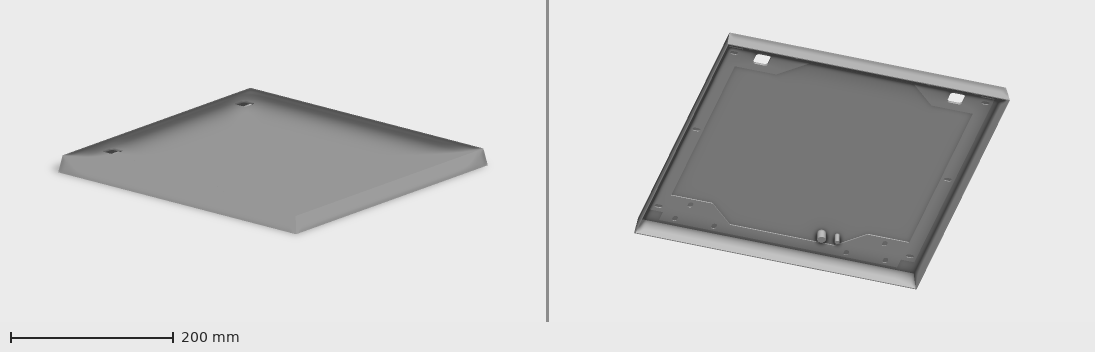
import cadquery as cq
import math

LENGTH = 384.0
WIDTH = 364.0
HEIGHT = 22.0
WALL_LEAN = 4.0
SHEET = 1.5

PLATE = 1.0
EDGE_GAP = 7.5
BAND = 17.3
END_BAR_LENGTH = 329.5
PAD_REACH = 50.0
PAD_DIAGONAL = 230.8

SLOT_LENGTH = 10.0
SLOT_WIDTH = 6.0
END_SLOT_X = 155.0
LEFT_SLOT_YS = (85.2, 145.0)
RIGHT_SLOT_YS = (85.2, 135.5)
PAD_SLOT_X = 141.5

OPENING = 19.2
OPENING_RADIUS = 4.0
OPENING_X = -152.5
OPENING_Y = 125.0

STUDS = ((145.0, -45.0, 10.8), (144.5, -65.0, 6.0))
STUD_LENGTH = 11.5

PAD_SLOT_Y = OPENING_Y
BOTTOM_Z = -HEIGHT / 2
TOP_Z = HEIGHT / 2
SHEET_UNDERSIDE = TOP_Z - SHEET
PLATE_UNDERSIDE = SHEET_UNDERSIDE - PLATE
PLATE_X = LENGTH / 2 - WALL_LEAN - EDGE_GAP
PLATE_Y = WIDTH / 2 - WALL_LEAN - EDGE_GAP
BAND_X = PLATE_X - BAND
BAND_Y = PLATE_Y - BAND
PAD_X = PLATE_X - PAD_REACH


def frustum(inset, height):
    """Rectangular block with leaning sides, inset from the foot outline of the shell."""
    draft = math.degrees(math.atan(WALL_LEAN / HEIGHT))
    return (cq.Workplane("XY", origin=(0, 0, BOTTOM_Z))
            .rect(LENGTH - 2 * inset, WIDTH - 2 * inset)
            .extrude(height, taper=draft))


def opening_cutter():
    """Rounded squares that pass through the top and through the plate under it."""
    return (cq.Workplane("XY", origin=(0, 0, BOTTOM_Z))
            .pushPoints([(OPENING_X, OPENING_Y), (OPENING_X, -OPENING_Y)])
            .rect(OPENING, OPENING).extrude(HEIGHT)
            .edges("|Z").fillet(OPENING_RADIUS))


def slot_cutter(points, angle):
    """Slots through a plate; the angle turns their length away from X."""
    return (cq.Workplane("XY", origin=(0, 0, PLATE_UNDERSIDE))
            .pushPoints(points).slot2D(SLOT_LENGTH, SLOT_WIDTH, angle).extrude(PLATE))


def make_shell():
    return frustum(0, HEIGHT).cut(frustum(SHEET, HEIGHT - SHEET)).cut(opening_cutter())


def make_end_bar(side):
    """Slotted bar that runs along X, between the shell wall and the corner pads."""
    middle_y = side * (PLATE_Y + BAND_Y) / 2
    bar = (cq.Workplane("XY", origin=(0, middle_y, PLATE_UNDERSIDE))
           .rect(END_BAR_LENGTH, BAND).extrude(PLATE))
    points = [(x, middle_y) for x in (-END_SLOT_X, 0, END_SLOT_X)]
    return bar.cut(slot_cutter(points, 90))


def make_side_plate(side, slot_ys):
    """Band along one side that widens into a pad with a slanted edge at each end."""
    half = [(PLATE_X, BAND_Y), (PAD_X, BAND_Y), (PAD_X, PAD_DIAGONAL - PAD_X),
            (BAND_X, PAD_DIAGONAL - BAND_X)]
    outline = half + [(x, -y) for x, y in reversed(half)]
    plate = (cq.Workplane("XY", origin=(0, 0, PLATE_UNDERSIDE))
             .polyline([(side * x, y) for x, y in outline]).close().extrude(PLATE))
    middle_x = side * (PLATE_X + BAND_X) / 2
    points = [(middle_x, s * y) for y in slot_ys for s in (-1, 1)]
    return plate.cut(slot_cutter(points, 0))


def make_stud(x, y, diameter):
    return (cq.Workplane("XY", origin=(x, y, SHEET_UNDERSIDE))
            .circle(diameter / 2).extrude(-STUD_LENGTH))


shell = make_shell()
end_bars = [make_end_bar(side) for side in (-1, 1)]
left_plate = make_side_plate(-1, LEFT_SLOT_YS).cut(opening_cutter())
pad_slots = slot_cutter([(PAD_SLOT_X, PAD_SLOT_Y), (PAD_SLOT_X, -PAD_SLOT_Y)], 0)
right_plate = make_side_plate(1, RIGHT_SLOT_YS).cut(pad_slots)
studs = [make_stud(*stud) for stud in STUDS]

result = cq.Compound.makeCompound(
    [shell.val(), left_plate.val(), right_plate.val()]
    + [bar.val() for bar in end_bars]
    + [stud.val() for stud in studs])